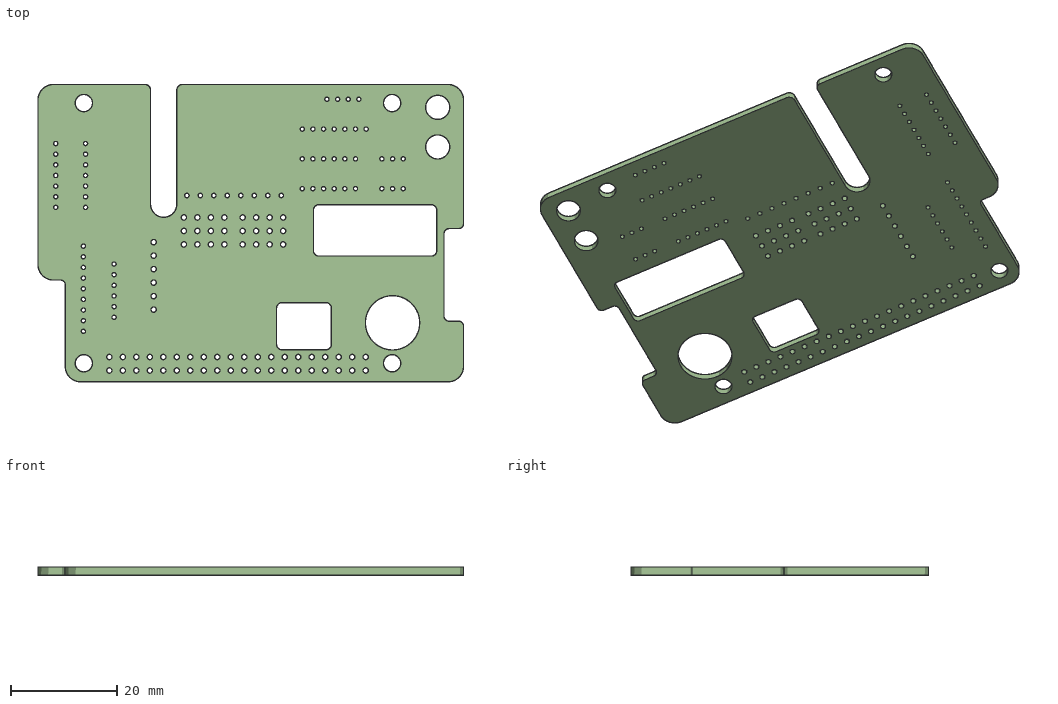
import cadquery as cq

length = 80.1
width = 56.0
thickness = 1.6
corner_radius = 3.0

left_step_x = 5.1
left_step_top = 19.15
step_inner_radius = 0.8
slot_left = 21.2
slot_width = 4.9
slot_bottom = 31.0
slot_mouth_radius = 1.1
notch_depth = 3.7
notch_bottom = 11.5
notch_top = 28.85
notch_radius = 1.0

mount_diameter = 3.2
mount_margin = 3.5
mount_span_x = 58.0
mount_x = left_step_x + mount_margin

side_hole_diameter = 4.5
side_hole_x = 75.25
side_hole_heights = (44.2, 51.7)
round_opening_diameter = 10.2
round_opening_center = (66.75, 11.1)
window_radius = 1.0
wide_window_center = (63.5, 28.5)
wide_window_size = (23.2, 9.6)
small_window_center = (50.1, 10.5)
small_window_size = (10.25, 8.8)

header_columns = 20
header_length = 48.25
coarse_pitch = header_length / (header_columns - 1)
fine_pitch = 2.0
header_hole = 1.0
medium_hole = 0.8
fine_hole = 0.75

pin_block_y = 25.9
left_pins_y = 32.85
right_pins_x = 49.8
right_trio_x = 64.75
right_row_heights = (36.4, 42.0)
pin_grids = [
    (header_hole, coarse_pitch, 13.5, 2.2, header_columns, 2),
    (header_hole, coarse_pitch, 27.5, pin_block_y, 4, 3),
    (header_hole, coarse_pitch, 38.55, pin_block_y, 4, 3),
    (medium_hole, coarse_pitch, 28.05, 35.1, 8, 1),
    (header_hole, coarse_pitch, 21.8, 13.6, 1, 6),
    (fine_hole, fine_pitch, 3.4, left_pins_y, 1, 7),
    (fine_hole, fine_pitch, 9.0, left_pins_y, 1, 7),
    (fine_hole, fine_pitch, 8.6, 9.5, 1, 9),
    (fine_hole, fine_pitch, 14.35, 12.2, 1, 6),
    (fine_hole, fine_pitch, 54.4, 53.2, 4, 1),
    (fine_hole, fine_pitch, right_pins_x, 47.6, 7, 1),
]
for row_y in right_row_heights:
    pin_grids.append((fine_hole, fine_pitch, right_pins_x, row_y, 6, 1))
    pin_grids.append((fine_hole, fine_pitch, right_trio_x, row_y, 3, 1))


def block(left, bottom, right, top):
    """Box through the full thickness, between opposite corners."""
    box = cq.Workplane("XY").box(right - left, top - bottom, thickness, centered=False)
    return box.translate((left, bottom, 0))


def round_holes(centers, diameter):
    """Cylinders through the full thickness at the given centres."""
    return cq.Workplane("XY").pushPoints(centers).circle(diameter / 2).extrude(thickness)


def window(center, size):
    """Rectangular opening with rounded corners."""
    opening = cq.Workplane("XY").center(*center).rect(*size).extrude(thickness)
    return opening.edges("|Z").fillet(window_radius)


def fillet_at(plate, points, radius):
    """Round the upright edges that stand at the given plan points."""
    for x, y in points:
        plate = plate.edges(cq.NearestToPointSelector((x, y, thickness / 2))).fillet(radius)
    return plate


slot_right = slot_left + slot_width
slot_end_y = slot_bottom + slot_width / 2
notch_x = length - notch_depth
plate = block(0, 0, length, width)
plate = plate.cut(block(0, 0, left_step_x, left_step_top))
plate = plate.cut(block(notch_x, notch_bottom, length, notch_top))
plate = plate.cut(block(slot_left, slot_end_y, slot_right, width))

outer_corners = [(left_step_x, 0), (length, 0), (length, width), (0, width), (0, left_step_top)]
slot_mouth = [(slot_left, width), (slot_right, width)]
notch_corners = [(x, y) for x in (notch_x, length) for y in (notch_bottom, notch_top)]
plate = fillet_at(plate, outer_corners, corner_radius)
plate = fillet_at(plate, slot_mouth, slot_mouth_radius)
plate = fillet_at(plate, notch_corners, notch_radius)
plate = fillet_at(plate, [(left_step_x, left_step_top)], step_inner_radius)

slot_end_center = (slot_left + slot_width / 2, slot_end_y)
plate = plate.cut(round_holes([slot_end_center], slot_width))

mount_centers = [
    (x, y)
    for x in (mount_x, mount_x + mount_span_x)
    for y in (mount_margin, width - mount_margin)
]
plate = plate.cut(round_holes(mount_centers, mount_diameter))
plate = plate.cut(round_holes([(side_hole_x, y) for y in side_hole_heights], side_hole_diameter))
plate = plate.cut(round_holes([round_opening_center], round_opening_diameter))
plate = plate.cut(window(wide_window_center, wide_window_size))
plate = plate.cut(window(small_window_center, small_window_size))

for diameter, pitch, first_x, first_y, columns, rows in pin_grids:
    centers = [
        (first_x + column * pitch, first_y + row * pitch)
        for column in range(columns)
        for row in range(rows)
    ]
    plate = plate.cut(round_holes(centers, diameter))

result = plate